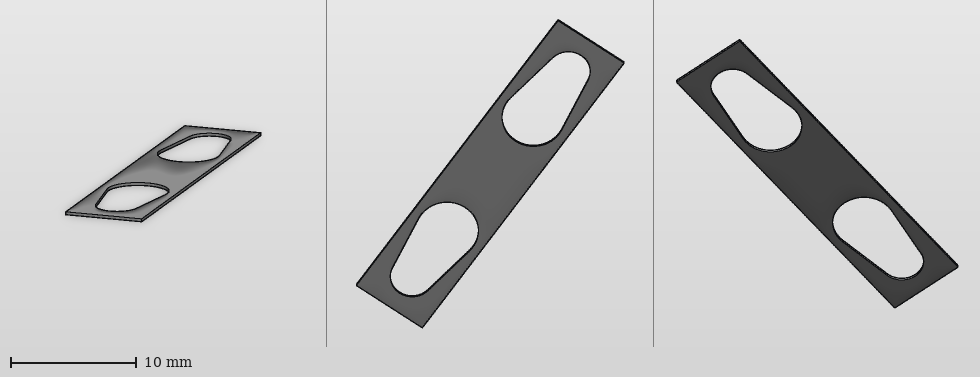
import cadquery as cq
import math

width = 6.4
length = 28.0
thickness = 0.25

large_radius = 2.5
small_radius = 1.75
large_center_y = 6.0
small_center_y = 10.85


def window(side):
    """Teardrop cutter with its small end toward the +Y (side=1) or -Y (side=-1) edge."""
    center_distance = small_center_y - large_center_y
    tilt = math.asin((large_radius - small_radius) / center_distance)

    def tangent_point(center_y, radius):
        return radius * math.cos(tilt), side * (center_y + radius * math.sin(tilt))

    large_x, large_y = tangent_point(large_center_y, large_radius)
    small_x, small_y = tangent_point(small_center_y, small_radius)
    return (
        cq.Workplane("XY")
        .moveTo(large_x, large_y)
        .lineTo(small_x, small_y)
        .threePointArc((0, side * (small_center_y + small_radius)), (-small_x, small_y))
        .lineTo(-large_x, large_y)
        .threePointArc((0, side * (large_center_y - large_radius)), (large_x, large_y))
        .close()
        .extrude(thickness, both=True)
    )


result = cq.Workplane("XY").box(width, length, thickness)
for side in (1, -1):
    result = result.cut(window(side))